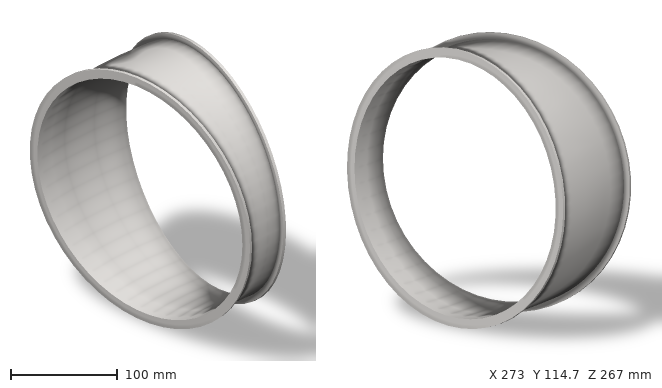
import cadquery as cq
import math

bend_angle = 15
bend_radius = 309.5
tube_outer_diameter = 255.0
bore_diameter = 248.5
flange_diameter = 267.0
flange_thickness = 3.0

axis_upper_point = (bend_radius, 2.7)
axis_lower_point = (bend_radius, 0)


def swept_disc(diameter):
    """Solid round bar following the whole bend."""
    profile = cq.Workplane("XZ").circle(diameter / 2)
    return profile.revolve(bend_angle, axis_upper_point, axis_lower_point)


def start_flange():
    """Flange whose outer face lies on the plane Y = 0."""
    return cq.Workplane("XZ").circle(flange_diameter / 2).extrude(-flange_thickness)


def end_flange():
    """Flange whose outer face is the tilted end plane of the bend."""
    angle = math.radians(bend_angle)
    center = (bend_radius * (1 - math.cos(angle)), bend_radius * math.sin(angle), 0)
    outward = (math.sin(angle), math.cos(angle), 0)
    end_plane = cq.Plane(origin=center, xDir=(0, 0, 1), normal=outward)
    return cq.Workplane(end_plane).circle(flange_diameter / 2).extrude(-flange_thickness)


body = swept_disc(tube_outer_diameter).union(start_flange()).union(end_flange())
result = body.cut(swept_disc(bore_diameter))